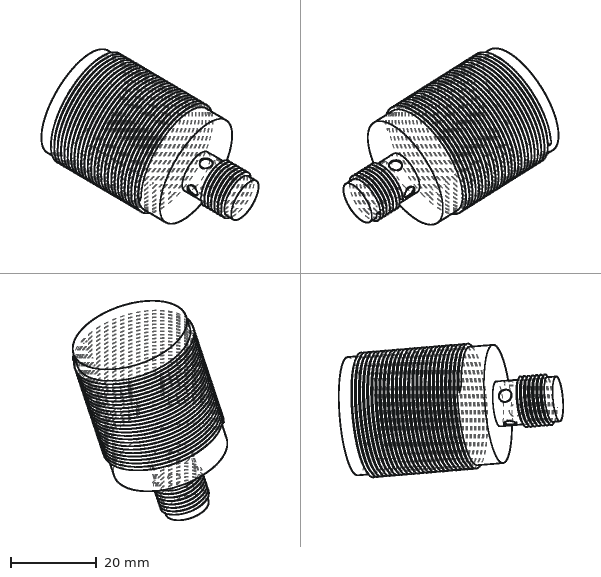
import cadquery as cq
import math

total_length = 49.35
body_length = 34.95
body_radius = 13.89
stem_radius = 5.3

pitch = 1.0
ridge_width = 0.9
root_overlap = 0.05

body_crest_radius = 14.68
body_thread_start = 2.9
body_thread_turns = 26.5
body_thread_end = body_thread_start + pitch * body_thread_turns
runout_length = 1.8

stem_crest_radius = 6.0
stem_thread_start = 40.5
stem_thread_turns = 7

dimple_radius = 1.55
dimple_x = 37.9
dimple_floor_radius = 4.8


def cylinder_along_x(start, end, radius):
    return cq.Workplane("YZ").workplane(offset=start).circle(radius).extrude(end - start)


def thread_ridge(start, turns, core_radius, crest_radius):
    """Helical triangular ridge whose crest starts on the +Y side at x = start."""
    inner_radius = core_radius - root_overlap
    half_width = ridge_width / 2
    path = cq.Wire.makeHelix(
        pitch, pitch * turns, inner_radius, cq.Vector(start, 0, 0), cq.Vector(1, 0, 0)
    )
    begin = path.startPoint()
    path = path.rotate(
        cq.Vector(0, 0, 0), cq.Vector(1, 0, 0), -math.degrees(math.atan2(begin.z, begin.y))
    )
    profile = cq.Workplane("XY").polyline(
        [
            (start - half_width, inner_radius),
            (start + half_width, inner_radius),
            (start, crest_radius),
        ]
    ).close()
    return profile.sweep(cq.Workplane(path), isFrenet=True)


def thread_runout(x, side):
    """Pointed end of the body ridge, fading into the core below z = 0 on the +Y (1) or -Y (-1) side."""
    inner_radius = body_radius - root_overlap
    half_width = ridge_width / 2
    tip_radius = math.sqrt(inner_radius**2 - runout_length**2)
    tip = cq.Vector(x, side * tip_radius, -runout_length)
    corners = [
        cq.Vector(x - half_width, side * inner_radius, 0),
        cq.Vector(x + half_width, side * inner_radius, 0),
        cq.Vector(x, side * body_crest_radius, 0),
    ]
    outlines = [corners]
    for index in range(3):
        outlines.append([corners[index], corners[(index + 1) % 3], tip])
    faces = []
    for outline in outlines:
        faces.append(cq.Face.makeFromWires(cq.Wire.makePolygon(outline, close=True)))
    return cq.Workplane(cq.Solid.makeSolid(cq.Shell.makeShell(faces)))


def dimple(angle):
    """Blind round hole entering the neck radially, turned about X by angle."""
    cutter = (
        cq.Workplane("XY")
        .workplane(offset=dimple_floor_radius)
        .center(dimple_x, 0)
        .circle(dimple_radius)
        .extrude(stem_radius)
    )
    return cutter.rotate((0, 0, 0), (1, 0, 0), angle)


body = cylinder_along_x(0, body_length, body_radius)
stem = cylinder_along_x(body_length, total_length, stem_radius)
for angle in range(0, 360, 90):
    stem = stem.cut(dimple(angle))

body_thread = thread_ridge(body_thread_start, body_thread_turns, body_radius, body_crest_radius)
stem_thread = thread_ridge(stem_thread_start, stem_thread_turns, stem_radius, stem_crest_radius)

body = body.union(body_thread)
body = body.union(thread_runout(body_thread_start, 1))
body = body.union(thread_runout(body_thread_end, -1))

result = body.union(stem.union(stem_thread))